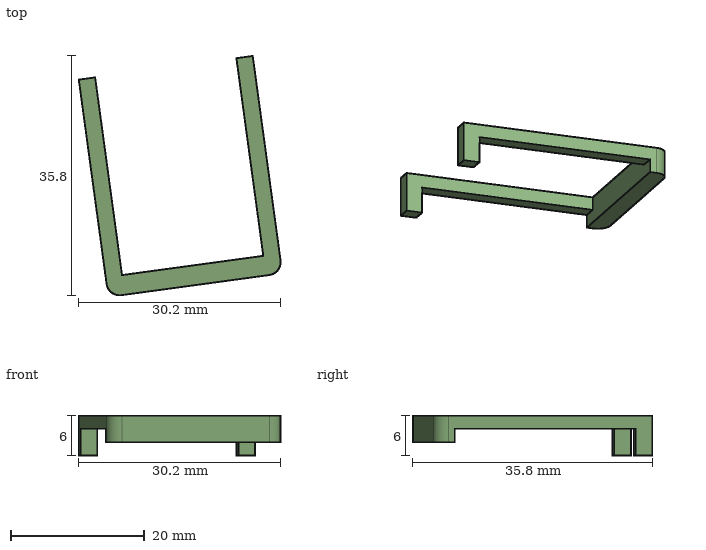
import cadquery as cq

frame_width = 26.3
frame_length = 32.85
arm_width = 2.5
arm_height = 2.0
crossbar_thickness = 3.0
crossbar_height = 4.0
corner_radius = 2.0
foot_length = 2.5
foot_height = 6.0
tilt_angle = 7.75

half_width = frame_width / 2


def block_below_top(x_start, y_start, width, length, height):
    """Box whose upper face lies on the common top plane, Z = 0."""
    return cq.Workplane("XY").box(width, length, height, centered=False).translate(
        (x_start, y_start, -height)
    )


def make_crossbar():
    """Deep bar that joins the arms, with rounded outer corners."""
    bar = block_below_top(-half_width, 0, frame_width, crossbar_thickness, crossbar_height)
    return bar.edges("|Z and <Y").fillet(corner_radius)


def make_arm(x_start):
    """Shallow arm running back from the crossbar, with a foot under its tip."""
    arm_start = crossbar_thickness
    arm_length = frame_length - arm_start
    arm = block_below_top(x_start, arm_start, arm_width, arm_length, arm_height)
    foot_start = frame_length - foot_length
    foot = block_below_top(x_start, foot_start, arm_width, foot_length, foot_height)
    return arm.union(foot)


frame = make_crossbar()
for arm_x in (-half_width, half_width - arm_width):
    frame = frame.union(make_arm(arm_x))

result = frame.rotate((0, 0, 0), (0, 0, 1), tilt_angle)